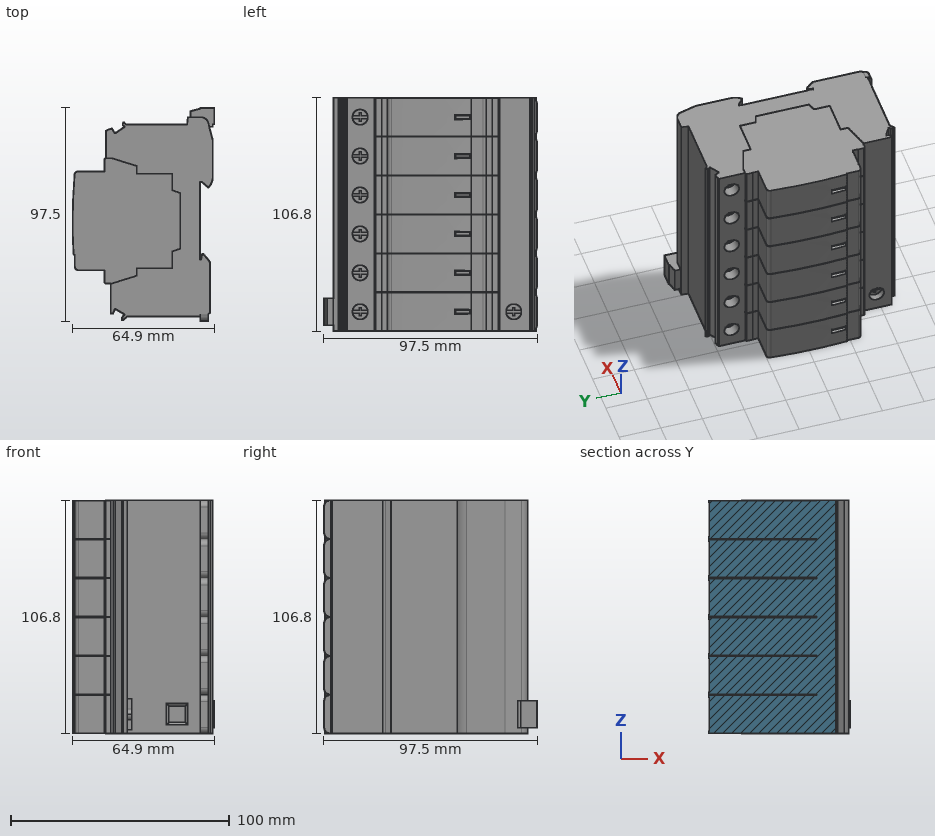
import cadquery as cq
import math

HEIGHT = 106.8
POLES = 6
PITCH = HEIGHT / POLES
POLE_CENTRES = [(i + 0.5) * PITCH for i in range(POLES)]
LOWEST_POLE = POLE_CENTRES[0]

DEPTH = 64.9
TOP_Y = 51.7
BOTTOM_Y = -45.8

HOUSING_TOP = 44.1
HOUSING_BOTTOM = -43.8
UPPER_FRONT = 15.3
LOWER_FRONT = 17.4
RAIL_FACE = 58.3
RAIL_HALF = 17.7

SEAM = 0.3
FLANGE_FRONT = 14.5
FLANGE_HALF = 28.7
FLANGE_CORNER = 0.6
FLANGE_STEP_HALF = 25.3
FLANGE_STEP = 0.1
NOSE_HALF = 22.6
NOSE_RADIUS = 252.0
NOSE_ARC_BOTTOM = -15.6
NOSE_CORNER = 1.7
NOSE_ARC_TOP = NOSE_HALF - NOSE_CORNER
NOSE_STEP = 0.5
SEAT_UPPER = [
    (17.7, FLANGE_HALF),
    (29.4, 25.1),
    (29.4, 21.6),
    (45.6, 21.6),
    (45.6, 14.0),
    (49.3, 12.7),
]
SEAT = SEAT_UPPER + [(x, -y) for x, y in reversed(SEAT_UPPER)]

TAB_END = 62.2
TAB_ROOT = -42.7
TAB_RADIUS = 3.0

SCREW_Y = 35.1
SCREW_HOLE = 7.0
SCREW_HEAD_X = 20.7
DRIVE_DEPTH = 0.6
DRIVE_SLOT = 1.3
CROSS_LENGTH = 3.8
CROSS_WIDTH = 1.0

WINDOW_Y = -11.7
WINDOW_LENGTH = 7.5
WINDOW_HEIGHT = 2.3
WINDOW_BEVEL = 0.5
WINDOW_DEPTH = 1.5

ENTRY_X = 47.8
ENTRY_SIZE = 9.8
ENTRY_BEVEL = 1.2
ENTRY_DEPTH = 10.7

LATCH_START = 25.0
LATCH_END = 27.1
LATCH_HEIGHT = 14.1
LATCH_DEPTH = 2.1
RIDGE_RISE = 1.4
RIDGE_HALF = 2.6

CLIP_HEIGHT = 12.4


def housing():
    outline = (
        cq.Workplane("XY")
        .moveTo(UPPER_FRONT, FLANGE_HALF)
        .lineTo(UPPER_FRONT, 41.1)
        .lineTo(16.0, 41.7)
        .lineTo(18.0, 42.3)
        .lineTo(19.4, 40.0)
        .lineTo(23.8, 43.0)
        .lineTo(23.0, 43.7)
        .lineTo(23.0, 44.5)
        .lineTo(23.4, 45.2)
        .lineTo(24.5, HOUSING_TOP)
        .lineTo(52.3, HOUSING_TOP)
        .lineTo(52.8, 47.4)
        .lineTo(58.8, 47.4)
        .threePointArc((61.1, 46.5), (62.2, 44.5))
        .lineTo(64.2, 37.0)
        .lineTo(64.2, 19.3)
        .threePointArc((63.5, 17.2), (62.2, 15.2))
        .lineTo(59.2, RAIL_HALF)
        .lineTo(RAIL_FACE, RAIL_HALF)
        .lineTo(RAIL_FACE, -RAIL_HALF)
        .lineTo(58.7, -RAIL_HALF)
        .lineTo(59.3, -15.2)
        .lineTo(59.8, -15.1)
        .lineTo(62.2, -17.8)
        .lineTo(62.9, -19.0)
        .lineTo(62.9, -42.0)
        .lineTo(TAB_END, TAB_ROOT)
        .lineTo(RAIL_FACE, TAB_ROOT)
        .lineTo(RAIL_FACE, HOUSING_BOTTOM)
        .lineTo(LATCH_START, HOUSING_BOTTOM)
        .lineTo(23.2, -45.4)
        .lineTo(22.5, -45.4)
        .lineTo(22.5, -44.5)
        .lineTo(23.0, -43.7)
        .lineTo(23.8, -42.8)
        .lineTo(19.4, -40.3)
        .lineTo(18.6, -42.4)
        .lineTo(LOWER_FRONT, -42.4)
        .lineTo(LOWER_FRONT, -FLANGE_HALF)
    )
    for point in reversed(SEAT):
        outline = outline.lineTo(*point)
    return outline.close().extrude(HEIGHT)


def nose_x(y):
    """X of the bowed nose surface at a given Y."""
    return NOSE_RADIUS - math.sqrt(NOSE_RADIUS**2 - y**2)


def module(centre_z):
    strip_x = nose_x(NOSE_ARC_BOTTOM) + NOSE_STEP
    inner_x = FLANGE_FRONT + FLANGE_STEP
    corner_x = FLANGE_FRONT + FLANGE_CORNER
    corner_y = FLANGE_HALF - FLANGE_CORNER
    thickness = PITCH - SEAM
    outline = cq.Workplane("XY", origin=(0, 0, centre_z - thickness / 2)).moveTo(*SEAT[0])
    for point in SEAT[1:]:
        outline = outline.lineTo(*point)
    return (
        outline
        .lineTo(corner_x, -FLANGE_HALF)
        .lineTo(FLANGE_FRONT, -corner_y)
        .lineTo(FLANGE_FRONT, -FLANGE_STEP_HALF)
        .lineTo(inner_x, -FLANGE_STEP_HALF)
        .lineTo(inner_x, -NOSE_HALF)
        .lineTo(strip_x + NOSE_CORNER, -NOSE_HALF)
        .radiusArc((strip_x, -NOSE_HALF + NOSE_CORNER), NOSE_CORNER)
        .lineTo(strip_x, NOSE_ARC_BOTTOM)
        .lineTo(nose_x(NOSE_ARC_BOTTOM), NOSE_ARC_BOTTOM)
        .threePointArc((0, 0), (nose_x(NOSE_ARC_TOP), NOSE_ARC_TOP))
        .radiusArc((nose_x(NOSE_ARC_TOP) + NOSE_CORNER, NOSE_HALF), NOSE_CORNER)
        .lineTo(inner_x, NOSE_HALF)
        .lineTo(inner_x, FLANGE_STEP_HALF)
        .lineTo(FLANGE_FRONT, FLANGE_STEP_HALF)
        .lineTo(FLANGE_FRONT, corner_y)
        .lineTo(corner_x, FLANGE_HALF)
        .close()
        .extrude(thickness)
    )


def tab(centre_z):
    length = TAB_END - RAIL_FACE
    width = TAB_ROOT - BOTTOM_Y
    return (
        cq.Workplane("XY")
        .box(length, width, PITCH)
        .translate((RAIL_FACE + length / 2, BOTTOM_Y + width / 2, centre_z))
        .edges("|X and <Y")
        .fillet(TAB_RADIUS)
    )


def rail_clip():
    points = [
        (53.9, 45.9),
        (53.9, 50.2),
        (58.5, 51.4),
        (58.5, TOP_Y),
        (DEPTH, TOP_Y),
        (DEPTH, 44.1),
        (64.2, 44.1),
        (64.2, 42.9),
        (60.9, 42.9),
    ]
    start = LOWEST_POLE - CLIP_HEIGHT / 2
    return cq.Workplane("XY", origin=(0, 0, start)).polyline(points).close().extrude(CLIP_HEIGHT)


def screw_recess(face_x, y, z):
    """Round hole down to a screw head, with the slot and cross cut into the head."""
    depth = SCREW_HEAD_X - face_x
    head = cq.Workplane("YZ", origin=(face_x, y, z))
    hole = head.circle(SCREW_HOLE / 2).extrude(depth)
    cross = head.rect(CROSS_WIDTH, CROSS_LENGTH).extrude(depth + DRIVE_DEPTH)
    slot = head.rect(SCREW_HOLE, DRIVE_SLOT).extrude(depth + DRIVE_DEPTH)
    drive_limit = head.circle(SCREW_HOLE / 2).extrude(depth + DRIVE_DEPTH)
    return hole.union(cross).union(slot.intersect(drive_limit))


def window(centre_z):
    """Bevelled slot at the lower end of the bowed nose, measured from its foremost point."""
    taper = math.degrees(math.atan(WINDOW_BEVEL / WINDOW_DEPTH))
    return (
        cq.Workplane("YZ", origin=(0, WINDOW_Y, centre_z))
        .rect(WINDOW_LENGTH, WINDOW_HEIGHT)
        .extrude(WINDOW_DEPTH, taper=taper)
    )


def cable_entry():
    face = cq.Workplane("XZ", origin=(ENTRY_X, HOUSING_BOTTOM, LOWEST_POLE))
    well_size = ENTRY_SIZE - 2 * ENTRY_BEVEL
    bevel = face.rect(ENTRY_SIZE, ENTRY_SIZE).extrude(-ENTRY_BEVEL, taper=45)
    well = face.rect(well_size, well_size).extrude(-ENTRY_DEPTH)
    return bevel.union(well)


def latch_recess():
    """Shallow recess crossed by a ridge: hollow above its crest, rounded below it."""
    floor_y = HOUSING_BOTTOM + LATCH_DEPTH
    half = LATCH_HEIGHT / 2
    ridge_radius = (RIDGE_HALF**2 + RIDGE_RISE**2) / (2 * RIDGE_RISE)
    return (
        cq.Workplane("YZ", origin=(LATCH_START, 0, LOWEST_POLE))
        .moveTo(HOUSING_BOTTOM, -half)
        .lineTo(floor_y, -half)
        .lineTo(floor_y, -RIDGE_HALF)
        .radiusArc((floor_y - RIDGE_RISE, 0), ridge_radius)
        .radiusArc((floor_y, RIDGE_HALF), -ridge_radius)
        .lineTo(floor_y, half)
        .lineTo(HOUSING_BOTTOM, half)
        .close()
        .extrude(LATCH_END - LATCH_START)
    )


result = housing().union(rail_clip())
for z in POLE_CENTRES:
    result = result.union(module(z)).union(tab(z))
for z in POLE_CENTRES:
    result = result.cut(screw_recess(UPPER_FRONT, SCREW_Y, z)).cut(window(z))
result = result.cut(screw_recess(LOWER_FRONT, -SCREW_Y, LOWEST_POLE))
result = result.cut(cable_entry()).cut(latch_recess())